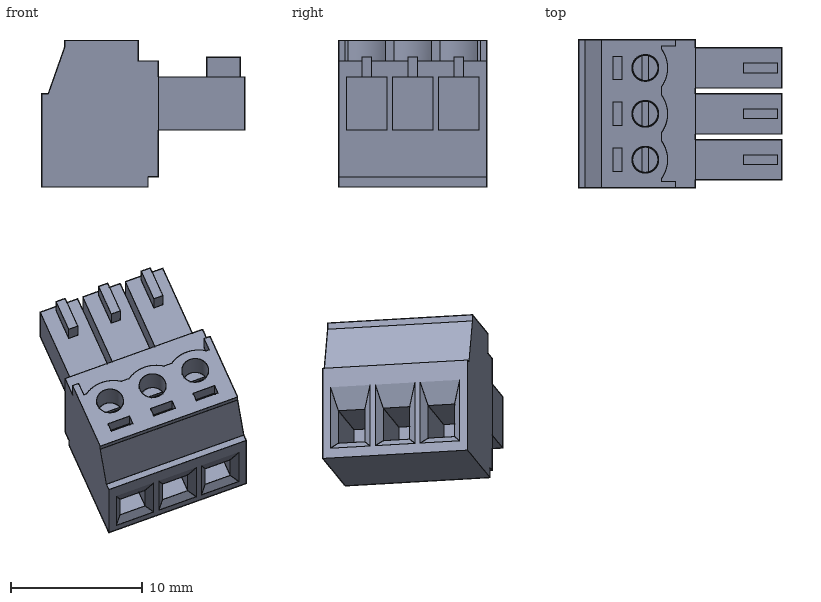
import cadquery as cq


length = 15.49
width = 11.3
height = 11.18

pole_count = 3
pole_pitch = 3.5
pole_positions = [(i - (pole_count - 1) / 2) * pole_pitch for i in range(pole_count)]

housing_length = 8.89
front_ledge_depth = 0.5
front_ledge_height = 7.13
slope_top_x = 1.75
slope_top_z = 10.69
rear_step_x = 7.37
rear_shelf_z = 9.63
foot_length = 8.12
foot_height = 0.77

recess_front_x = 6.32
recess_end_wall = 0.5
scallop_bulge = 0.46
scallop_half_width = 1.43

mouth_width = 3.08
mouth_bottom = 0.77
mouth_top = 5.58
mouth_depth = 0.5
tunnel_width = 2.06
tunnel_bottom = 1.27
tunnel_top = 3.84

screw_x = 5.08
well_radius = 1.02
well_depth = 3.1
screw_radius = 0.96
screw_head_height = 0.93
driver_slot_width = 0.51
driver_slot_depth = 0.31
tunnel_end_x = screw_x + well_radius

test_slot_front_x = 2.63
test_slot_length = 0.68
test_slot_width = 1.77
test_slot_depth = 1.24

finger_width = 3.08
finger_bottom = 4.35
finger_top = 8.41
fin_front_x = 12.58
fin_length = 2.57
fin_width = 0.75
fin_top = 9.91


def box_between(x_range, y_center, y_width, z_range):
    """Box given by its X and Z ranges and its centre and width in Y."""
    x_min, x_max = x_range
    z_min, z_max = z_range
    return (
        cq.Workplane("XY")
        .box(x_max - x_min, y_width, z_max - z_min, centered=(False, True, False))
        .translate((x_min, y_center, z_min))
    )


def make_housing():
    """Side profile extruded across the full width."""
    profile = [
        (0, 0),
        (foot_length, 0),
        (foot_length, foot_height),
        (housing_length, foot_height),
        (housing_length, rear_shelf_z),
        (rear_step_x, rear_shelf_z),
        (rear_step_x, height),
        (slope_top_x, height),
        (slope_top_x, slope_top_z),
        (front_ledge_depth, front_ledge_height),
        (0, front_ledge_height),
    ]
    return cq.Workplane("XZ").polyline(profile).close().extrude(width / 2, both=True)


def make_rear_recess():
    """Cutter down to the rear shelf, with a bulge left standing behind each screw well."""
    half_width = width / 2 - recess_end_wall
    outline = (
        cq.Workplane("XY", origin=(0, 0, rear_shelf_z))
        .moveTo(rear_step_x, -half_width)
        .lineTo(recess_front_x, -half_width)
    )
    for y in pole_positions:
        outline = outline.lineTo(recess_front_x, y - scallop_half_width).threePointArc(
            (recess_front_x + scallop_bulge, y),
            (recess_front_x, y + scallop_half_width),
        )
    outline = outline.lineTo(recess_front_x, half_width).lineTo(rear_step_x, half_width)
    return outline.close().extrude(height - rear_shelf_z)


def make_wire_entry(y):
    """Cutter for one wire entry."""
    mouth_center_z = (mouth_bottom + mouth_top) / 2
    tunnel_center_z = (tunnel_bottom + tunnel_top) / 2
    mouth = (
        cq.Workplane("YZ")
        .center(y, mouth_center_z)
        .rect(mouth_width, mouth_top - mouth_bottom)
        .workplane(offset=mouth_depth)
        .center(0, tunnel_center_z - mouth_center_z)
        .rect(tunnel_width, tunnel_top - tunnel_bottom)
        .loft(ruled=True)
    )
    tunnel = box_between((mouth_depth, tunnel_end_x), y, tunnel_width, (tunnel_bottom, tunnel_top))
    return mouth.union(tunnel)


def make_screw_well(y):
    """Cutter for one screw well that leaves the slotted screw head standing on its floor."""
    floor_z = height - well_depth
    head_top_z = floor_z + screw_head_height
    floor_plane = cq.Workplane("XY", origin=(screw_x, y, floor_z))
    well = floor_plane.circle(well_radius).extrude(well_depth)
    head = floor_plane.circle(screw_radius).extrude(screw_head_height)
    driver_slot = box_between(
        (screw_x - driver_slot_width / 2, screw_x + driver_slot_width / 2),
        y,
        2 * screw_radius,
        (head_top_z - driver_slot_depth, head_top_z),
    )
    return well.cut(head.cut(driver_slot))


def make_test_slot(y):
    """Cutter for one rectangular slot in the top face."""
    x_range = (test_slot_front_x, test_slot_front_x + test_slot_length)
    return box_between(x_range, y, test_slot_width, (height - test_slot_depth, height))


def make_plug_finger(y):
    """One plug finger with its coding fin."""
    finger = box_between((housing_length, length), y, finger_width, (finger_bottom, finger_top))
    fin = box_between((fin_front_x, fin_front_x + fin_length), y, fin_width, (finger_top, fin_top))
    return finger.union(fin)


result = make_housing().cut(make_rear_recess())
for pole_y in pole_positions:
    result = result.cut(make_wire_entry(pole_y))
    result = result.cut(make_screw_well(pole_y))
    result = result.cut(make_test_slot(pole_y))
    result = result.union(make_plug_finger(pole_y))